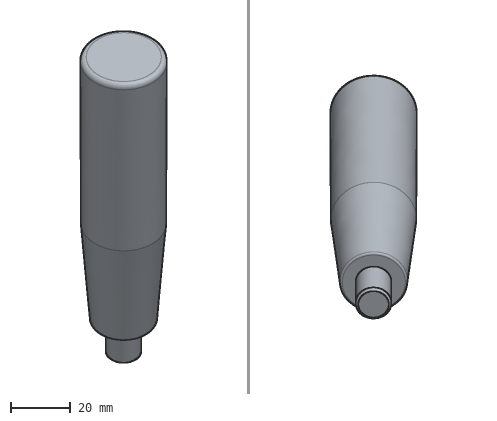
import cadquery as cq

total_length = 130.0
shank_length = 15.0

grip_top_diameter = 29.0
grip_shoulder_diameter = 28.6
grip_lower_diameter = 22.5
taper_length = 42.2
top_rounding = 2.0
lower_rounding = 0.8

shank_diameter = 12.0
shank_tip_diameter = 10.1
shank_chamfer = (shank_diameter - shank_tip_diameter) / 2


def make_grip():
    """Revolve the grip profile, standing on z = 0, and round both rims."""
    grip_length = total_length - shank_length
    grip = (
        cq.Workplane("XZ")
        .lineTo(grip_lower_diameter / 2, 0)
        .lineTo(grip_shoulder_diameter / 2, taper_length)
        .lineTo(grip_top_diameter / 2, grip_length)
        .lineTo(0, grip_length)
        .close()
        .revolve(360, (0, 0, 0), (0, 1, 0))
    )
    grip = grip.faces(">Z").edges().fillet(top_rounding)
    return grip.faces("<Z").edges().fillet(lower_rounding)


def make_shank():
    """Cylinder hanging below the grip, chamfered at its free end."""
    shank = cq.Workplane("XY").circle(shank_diameter / 2).extrude(-shank_length)
    return shank.faces("<Z").chamfer(shank_chamfer)


result = make_grip().union(make_shank())